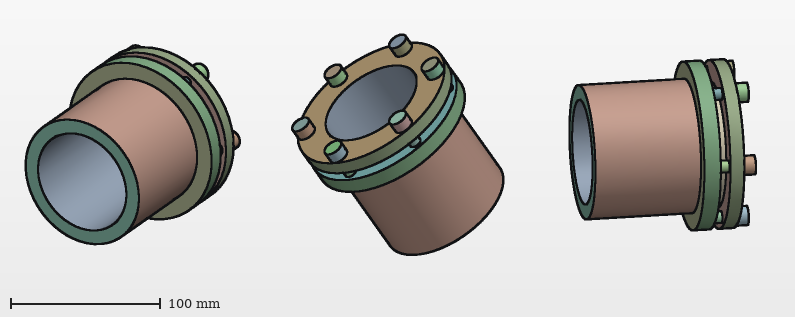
import cadquery as cq

flange_diameter = 113.0
pipe_diameter = 90.0
bore_diameter = 70.1
spacer_diameter = 84.2

pipe_length = 71.8
flange_thickness = 11.2
spacer_thickness = 6.5
backing_thickness = 9.5
head_height = 8.0

bolt_count = 6
bolt_circle_radius = 49.7
head_diameter = 13.0
shank_diameter = 8.0

flange_start = pipe_length
spacer_start = flange_start + flange_thickness
backing_start = spacer_start + spacer_thickness
head_start = backing_start + backing_thickness


def plane_at(y):
    """Workplane across the pipe axis whose extrusions run toward +Y."""
    return cq.Workplane(cq.Plane(origin=(0, y, 0), xDir=(1, 0, 0), normal=(0, 1, 0)))


def ring(y, diameter, length):
    """Annular section around the common bore."""
    return plane_at(y).circle(diameter / 2).circle(bore_diameter / 2).extrude(length)


def bolt_pattern(y, diameter, length):
    """Cylinders spaced evenly on the bolt circle, the first one on +X."""
    centers = plane_at(y).polarArray(bolt_circle_radius, 0, 360, bolt_count)
    return centers.circle(diameter / 2).extrude(length)


body = ring(0, pipe_diameter, pipe_length)
body = body.union(ring(flange_start, flange_diameter, flange_thickness))
body = body.union(ring(spacer_start, spacer_diameter, spacer_thickness))
body = body.union(ring(backing_start, flange_diameter, backing_thickness))

shanks = bolt_pattern(spacer_start, shank_diameter, spacer_thickness)
heads = bolt_pattern(head_start, head_diameter, head_height)

result = body.union(shanks).union(heads)